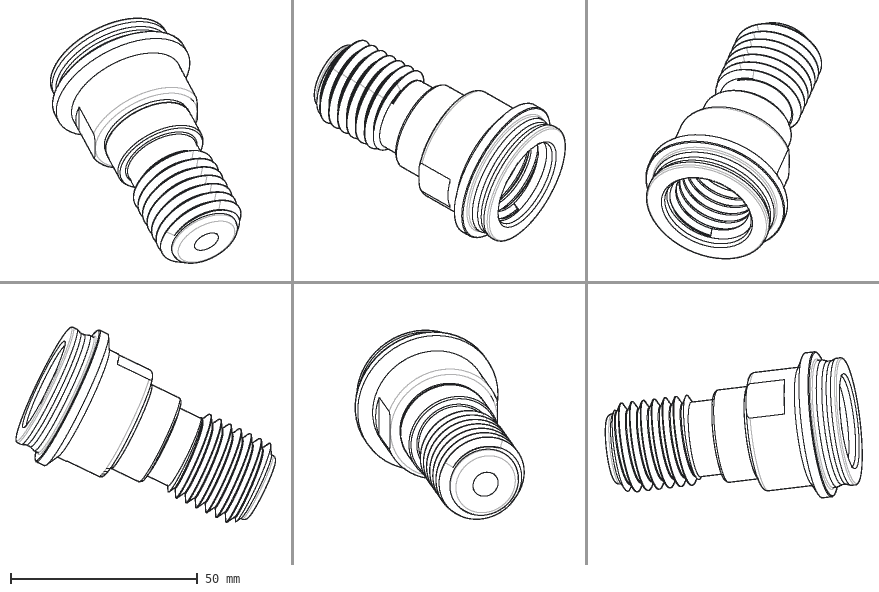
import cadquery as cq
import math

total_length = 65.1
flange_start = 6.9
flange_cone_start = 9.65
flange_cone_end = 11.65
body_end = 25.1
neck_end = 26.2
collar_end = 35.1
stem_start = 35.5
male_thread_start = 42.0
male_thread_end = 63.4

spigot_radius = 17.2
flange_radius = 19.6
body_radius = 16.0
neck_radius = 12.3
collar_radius = 12.5
stem_radius = 10.1
pilot_radius = 9.5

spigot_fillet = 0.4
flange_root_fillet = 0.4
flange_chamfer = 0.25
body_fillet = 1.1
collar_chamfer_length = 0.6
collar_chamfer_height = 0.4
pilot_fillet = 1.2

ring_groove_start = 1.5
ring_groove_end = 5.4
ring_groove_floor_start = 2.8
ring_groove_floor_end = 4.0
ring_groove_radius = 16.7

flat_distance = 15.0
flat_start = 14.5

pitch = 3.0
flank_slope = math.tan(math.radians(30))
cut_overlap = 0.2

male_crest_radius = 12.1
male_root_radius = 9.95
male_root_width = 0.3
male_runout_slope = math.tan(math.radians(60))
male_groove_angle = 151.0
male_groove_start = 41.56
male_groove_turns = 8

socket_mouth_radius = 12.85
socket_mouth_chamfer_length = 0.85
relief_radius = 12.2
relief_end = 2.7
female_minor_radius = 10.5
female_major_radius = 12.15
female_root_width = 0.45
female_groove_start = 3.2
female_groove_length = 17.0
seat_taper_start = 21.0
seat_radius = 9.6
seat_floor_radius = 9.25
socket_depth = 24.0

hole_radius = 3.5
hole_countersink_radius = 5.5

socket_cone_slope = math.tan(math.radians(60))


def revolve_profile(profile):
    """Turn a half outline, drawn as (axial, radial), around the X axis."""
    return profile.close().revolve(360, (0, 0, 0), (1, 0, 0))


def outer_body():
    runout_length = (male_crest_radius - stem_radius) / male_runout_slope
    tip_runout_length = (male_crest_radius - pilot_radius) / male_runout_slope
    profile = (
        cq.Workplane("XY")
        .moveTo(0, 0)
        .lineTo(0, spigot_radius - spigot_fillet)
        .radiusArc((spigot_fillet, spigot_radius), spigot_fillet)
        .lineTo(ring_groove_start, spigot_radius)
        .lineTo(ring_groove_floor_start, ring_groove_radius)
        .lineTo(ring_groove_floor_end, ring_groove_radius)
        .lineTo(ring_groove_end, spigot_radius)
        .lineTo(flange_start - flange_root_fillet, spigot_radius)
        .radiusArc((flange_start, spigot_radius + flange_root_fillet), -flange_root_fillet)
        .lineTo(flange_start, flange_radius - flange_chamfer)
        .lineTo(flange_start + flange_chamfer, flange_radius)
        .lineTo(flange_cone_start, flange_radius)
        .lineTo(flange_cone_end, body_radius)
        .lineTo(body_end - body_fillet, body_radius)
        .radiusArc((body_end, body_radius - body_fillet), body_fillet)
        .lineTo(body_end, neck_radius)
        .lineTo(neck_end, neck_radius)
        .lineTo(neck_end, collar_radius)
        .lineTo(collar_end - collar_chamfer_length, collar_radius)
        .lineTo(collar_end, collar_radius - collar_chamfer_height)
        .lineTo(collar_end, stem_radius + stem_start - collar_end)
        .lineTo(stem_start, stem_radius)
        .lineTo(male_thread_start, stem_radius)
        .lineTo(male_thread_start + runout_length, male_crest_radius)
        .lineTo(male_thread_end - tip_runout_length, male_crest_radius)
        .lineTo(male_thread_end, pilot_radius)
        .lineTo(total_length - pilot_fillet, pilot_radius)
        .radiusArc((total_length, pilot_radius - pilot_fillet), pilot_fillet)
        .lineTo(total_length, 0)
    )
    return revolve_profile(profile)


def socket_bore():
    thread_lead_end = relief_end + relief_radius - female_minor_radius
    countersink_depth = (hole_countersink_radius - hole_radius) / socket_cone_slope
    seat_taper_end = seat_taper_start + (female_minor_radius - seat_radius) / socket_cone_slope
    profile = (
        cq.Workplane("XY")
        .moveTo(0, 0)
        .lineTo(0, socket_mouth_radius)
        .lineTo(socket_mouth_chamfer_length, relief_radius)
        .lineTo(relief_end, relief_radius)
        .lineTo(thread_lead_end, female_minor_radius)
        .lineTo(seat_taper_start, female_minor_radius)
        .lineTo(seat_taper_end, seat_radius)
        .lineTo(socket_depth - (seat_radius - seat_floor_radius), seat_radius)
        .lineTo(socket_depth, seat_floor_radius)
        .lineTo(socket_depth, hole_countersink_radius)
        .lineTo(socket_depth + countersink_depth, hole_radius)
        .lineTo(total_length, hole_radius)
        .lineTo(total_length, 0)
    )
    return revolve_profile(profile)


def helical_groove(root_radius, open_radius, root_width, start, length, angle):
    """V groove with a flat root, wound around X; angle turns its start away from -Z."""
    half_root = root_width / 2
    half_open = half_root + abs(open_radius - root_radius) * flank_slope
    helix = cq.Wire.makeHelix(pitch, length, root_radius)
    groove = (
        cq.Workplane("XZ")
        .polyline(
            [
                (root_radius, -half_root),
                (root_radius, half_root),
                (open_radius, half_open),
                (open_radius, -half_open),
            ]
        )
        .close()
        .sweep(cq.Workplane(obj=helix), isFrenet=True)
    )
    return (
        groove.rotate((0, 0, 0), (0, 1, 0), 90)
        .rotate((0, 0, 0), (1, 0, 0), angle)
        .translate((start, 0, 0))
    )


def cut_male_thread(blank):
    """Cut the groove turn by turn; every turn starts at the same angle."""
    for turn in range(male_groove_turns):
        groove = helical_groove(
            male_root_radius,
            male_crest_radius + cut_overlap,
            male_root_width,
            male_groove_start + turn * pitch,
            pitch,
            male_groove_angle,
        )
        blank = blank.cut(groove)
    return blank


def female_thread_groove():
    return helical_groove(
        female_major_radius,
        female_minor_radius - cut_overlap,
        female_root_width,
        female_groove_start,
        female_groove_length,
        0,
    )


def wrench_flat(side):
    """Block outside one flat; side is +1 or -1 along Y."""
    length = body_end - flat_start
    depth = body_radius - flat_distance
    block = cq.Workplane("XY").box(length, depth, 2 * body_radius, centered=(False, True, True))
    return block.translate((flat_start, side * (flat_distance + depth / 2), 0))


result = outer_body().cut(socket_bore())
for flat_side in (1, -1):
    result = result.cut(wrench_flat(flat_side))
result = cut_male_thread(result)
result = result.cut(female_thread_groove())